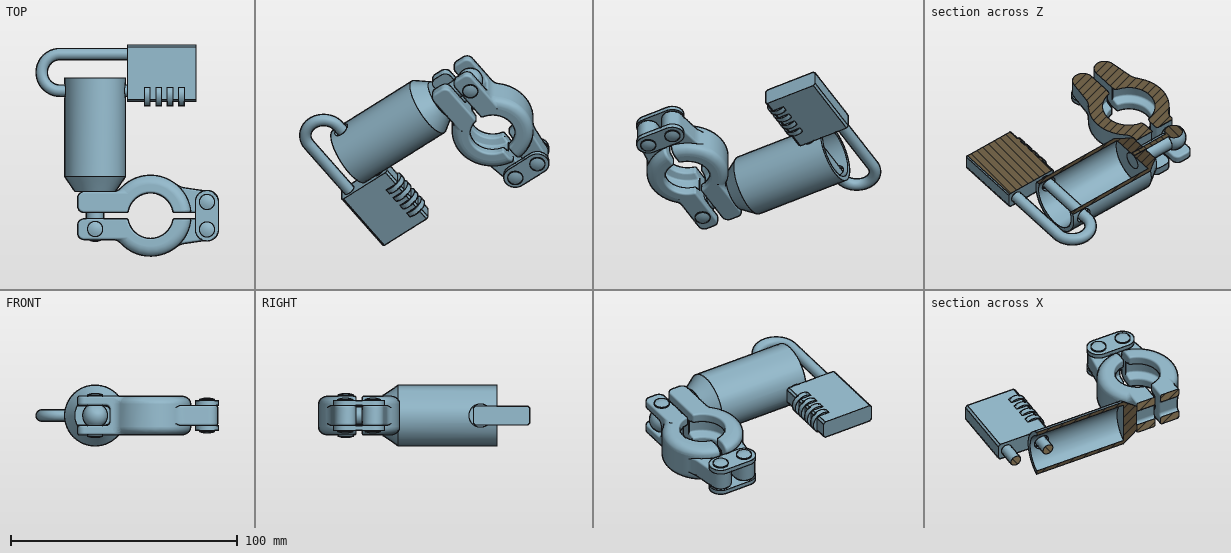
import cadquery as cq
import math


half_gap = 1.3
clamp_half_height = 8.6
ring_radius = 17.9
ring_flat_radius = 13.7
ring_wall_half_height = 5.1
bore_radius = 10.0
edge_radius = 0.9
arm_outer = 10.6
arm_end = -32.2
arm_corner_radius = 3.0
arm_root_radius = 4.7

groove_radius = 13.4
lip_corner = 4.3
inner_radius = (groove_radius + ring_flat_radius) / 2
flank_angle = math.radians(20)

slot_end = -17.9
slot_corner_radius = 1.9
upper_slot_half_height = 4.1
lower_slot_half_height = 4.5

rivet_x = 24.9
rivet_y = 6.1
lug_radius = rivet_y - half_gap
lug_half_height = 4.5
lug_root_radius = 8.4
lug_slope = math.radians(8.3)
link_radius = 5.1
link_thickness = 2.1

head_radius = 3.4
head_rim = 0.6
head_dome = 0.7

bolt_x = -24.5
bolt_pin_y = -5.9
ball_radius = 5.5
rod_radius = 3.9

barrel_radius = 27.0 / 2
barrel_tip_radius = 9.0
barrel_bore_radius = 11.6
barrel_shoulder = 17.3
barrel_end = 60.9
shackle_hole_radius = 7.0 / 2

case_left = -10.2
case_width = 30.3
case_top = 93.35 - ring_radius
case_height = 25.0
case_thickness = 8.4
case_chamfer = 0.9
shackle_radius = 5.1 / 2
shackle_lower_y = 55.2
shackle_upper_y = 71.3
shackle_left = -50.6
wheel_count = 4
wheel_radius = 5.1
wheel_width = 2.5
wheel_pitch = 5.0
wheel_first_left = -2.7
wheel_y = 53.6

REACH = 56.0


def plate(outline, half_height):
    """A closed outline extruded equally above and below Z = 0."""
    return outline.close().extrude(2 * half_height).translate((0, 0, -half_height))


def ring():
    """Full ring with rounded shoulders, rounded bore edges and the inner groove."""
    wall_half_height = lip_corner - math.tan(flank_angle) * (groove_radius - bore_radius)
    above_middle = (
        cq.Workplane("XZ")
        .moveTo(groove_radius, 0)
        .lineTo(ring_radius, 0)
        .lineTo(ring_radius, ring_wall_half_height)
        .ellipseArc(ring_radius - ring_flat_radius, clamp_half_height - ring_wall_half_height, 0, 90)
        .lineTo(bore_radius, clamp_half_height)
        .lineTo(bore_radius, lip_corner)
        .lineTo(groove_radius, wall_half_height)
        .close()
        .revolve(360, (0, 0), (0, 1))
    )
    whole = above_middle.union(above_middle.mirror("XY"))

    def in_bore(edge):
        is_round = edge.geomType() == "CIRCLE"
        return is_round and edge.radius() < groove_radius + edge_radius

    return whole.edges().filter(in_bore).fillet(edge_radius)


def half_ring():
    """The +Y half of the ring, with the edges of its two gap faces rounded."""
    upper_side = cq.Workplane("XY").box(REACH, REACH, REACH).translate((0, half_gap + REACH / 2, 0))
    return ring().intersect(upper_side).faces("<Y").edges().fillet(edge_radius)


def arm():
    """Straight arm with rounded free corners, ending inside the ring just clear of the groove."""
    blank = cq.Workplane("XY").box(-arm_end, arm_outer - half_gap, 2 * clamp_half_height)
    blank = blank.translate((arm_end / 2, (arm_outer + half_gap) / 2, 0))
    blank = blank.edges("|Z and <X").fillet(arm_corner_radius)
    core = cq.Workplane("XY").circle(inner_radius).extrude(REACH, both=True)
    body = blank.cut(core)

    def outside_core(edge):
        return edge.geomType() == "LINE" or edge.Center().x < -ring_radius

    return body.faces("|Z").edges().filter(outside_core).fillet(edge_radius)


def lug_root(normal, distance):
    """Concave arc from the sloping lug side to the ring: its lug end, middle and ring end."""
    along = (normal[1], -normal[0])
    offset = distance + lug_root_radius
    run = math.sqrt((ring_radius + lug_root_radius) ** 2 - offset**2)
    centre = tuple(n * offset + t * run for n, t in zip(normal, along))
    lug_point = tuple(c - lug_root_radius * n for c, n in zip(centre, normal))
    ring_point = tuple(c * ring_radius / (ring_radius + lug_root_radius) for c in centre)
    bisector = [(p + q) / 2 - c for p, q, c in zip(lug_point, ring_point, centre)]
    reach = lug_root_radius / math.hypot(*bisector)
    middle = tuple(c + reach * b for c, b in zip(centre, bisector))
    return lug_point, middle, ring_point


def lug():
    """Hinge lug rounded about the rivet, flared into the ring, ending just clear of the groove."""
    normal = (math.sin(lug_slope), math.cos(lug_slope))
    distance = rivet_x * normal[0] + rivet_y * normal[1] + lug_radius
    lug_point, middle, ring_point = lug_root(normal, distance)
    gap_angle = math.asin(half_gap / inner_radius)
    root_angle = math.atan2(ring_point[1], ring_point[0])
    inner_points = [
        (inner_radius * math.cos(angle), inner_radius * math.sin(angle))
        for angle in (root_angle, (root_angle + gap_angle) / 2, gap_angle)
    ]
    outline = (
        cq.Workplane("XY")
        .moveTo(*inner_points[2])
        .lineTo(rivet_x, half_gap)
        .threePointArc(
            (rivet_x + lug_radius, rivet_y),
            (rivet_x + lug_radius * normal[0], rivet_y + lug_radius * normal[1]),
        )
        .lineTo(*lug_point)
        .threePointArc(middle, ring_point)
        .lineTo(*inner_points[0])
        .threePointArc(inner_points[1], inner_points[2])
    )
    return plate(outline, lug_half_height).faces("|Z").edges().fillet(edge_radius)


def slot(half_height):
    """Tool for the bolt slot, open at the free end of the arm."""
    blank = cq.Workplane("XY").box(REACH, REACH, 2 * half_height)
    return blank.translate((slot_end - REACH / 2, 0, 0)).edges("|Y and >X").fillet(slot_corner_radius)


def clamp_half(slot_half_height):
    """The +Y half of the clamp, without its link."""

    def at_arm_root(edge):
        centre = edge.Center()
        near_side = arm_outer - edge_radius / 2 - 0.1 < centre.y < arm_outer + 0.1
        return near_side and -ring_radius < centre.x < -bore_radius

    half = half_ring().union(arm())
    half = half.edges().filter(at_arm_root).fillet(arm_root_radius)
    return half.union(lug()).cut(slot(slot_half_height))


def round_slot_mouth(half, slot_half_height):
    """Round the edges where the slot breaks through the sides and the end of the arm."""

    def at_mouth(edge):
        box = edge.BoundingBox()
        in_slot = max(abs(box.zmin), abs(box.zmax)) < slot_half_height + 0.01
        runs_along_y = box.ymax - box.ymin > arm_outer / 2
        on_arm = box.xmax < slot_end + 0.01
        in_end = box.xmax - box.xmin < 0.01 and box.xmax < bolt_x
        return in_slot and on_arm and (not runs_along_y or in_end)

    return half.edges().filter(at_mouth).fillet(edge_radius)


def domed_pin(radius, half_length):
    """Pin along Z whose ends each stand out as a short rim under a shallow dome."""
    rim = half_length + head_rim
    dome_radius = (radius**2 + head_dome**2) / (2 * head_dome)
    dome_centre = rim + head_dome - dome_radius
    mid_radius = radius / 2
    mid_height = dome_centre + math.sqrt(dome_radius**2 - mid_radius**2)
    return (
        cq.Workplane("XZ")
        .moveTo(0, -rim - head_dome)
        .threePointArc((mid_radius, -mid_height), (radius, -rim))
        .lineTo(radius, rim)
        .threePointArc((mid_radius, mid_height), (0, rim + head_dome))
        .close()
        .revolve(360, (0, 0), (0, 1))
    )


def link():
    """Two plates riveted to the hinge lugs of both halves."""
    outer_face = lug_half_height + link_thickness
    length = 2 * (rivet_y + link_radius)
    plates = (
        cq.Workplane("XY")
        .slot2D(length, 2 * link_radius, 90)
        .extrude(2 * outer_face)
        .translate((rivet_x, 0, -outer_face))
        .cut(cq.Workplane("XY").box(2 * REACH, REACH, 2 * lug_half_height))
    )
    for side in (1, -1):
        plates = plates.union(domed_pin(head_radius, outer_face).translate((rivet_x, side * rivet_y, 0)))
    return plates


def bolt_pin():
    """Cross pin through the ball and the lower arm."""
    return domed_pin(head_radius, clamp_half_height).translate((bolt_x, bolt_pin_y, 0))


def bolt_rod():
    """Plain rod from the ball to the inner floor of the barrel."""
    rod = cq.Workplane("XZ").circle(rod_radius).extrude(bolt_pin_y - barrel_shoulder)
    return rod.translate((bolt_x, bolt_pin_y, 0))


def bolt():
    """Swing bolt: a ball flattened to fit its slot, its cross pin and a plain rod."""
    ball = cq.Workplane("XY").sphere(ball_radius)
    ball = ball.intersect(cq.Workplane("XY").box(REACH, REACH, 2 * lower_slot_half_height))
    ball = ball.translate((bolt_x, bolt_pin_y, 0))
    return ball.union(bolt_rod()).union(bolt_pin())


def barrel():
    """Open sleeve with a tapered tip, a hole for the bolt rod and a cross hole for the shackle."""
    body = (
        cq.Workplane("XY")
        .moveTo(0, arm_outer)
        .lineTo(barrel_tip_radius, arm_outer)
        .lineTo(barrel_radius, barrel_shoulder)
        .lineTo(barrel_radius, barrel_end)
        .lineTo(barrel_bore_radius, barrel_end)
        .lineTo(barrel_bore_radius, barrel_shoulder)
        .lineTo(0, barrel_shoulder)
        .close()
        .revolve(360, (0, 0), (0, 1))
        .translate((bolt_x, 0, 0))
    )
    hole = cq.Workplane("YZ").center(shackle_lower_y, 0).circle(shackle_hole_radius)
    return body.cut(bolt_rod()).cut(hole.extrude(REACH, both=True))


def clamp():
    """Both clamp halves joined by their link, with clearance for the bolt pin and the barrel."""
    upper = clamp_half(upper_slot_half_height)
    lower = round_slot_mouth(clamp_half(lower_slot_half_height), lower_slot_half_height).mirror("XZ")
    upper = upper.cut(barrel())
    lower = lower.cut(bolt_pin())
    return upper.union(lower).union(link())


def shackle():
    """U-shaped rod with its legs along X."""
    bend_radius = (shackle_upper_y - shackle_lower_y) / 2
    bend_x = shackle_left + shackle_radius + bend_radius
    path = (
        cq.Workplane("XY")
        .moveTo(case_left, shackle_upper_y)
        .lineTo(bend_x, shackle_upper_y)
        .threePointArc(
            (bend_x - bend_radius, shackle_lower_y + bend_radius), (bend_x, shackle_lower_y)
        )
        .lineTo(case_left, shackle_lower_y)
    )
    section = cq.Workplane("YZ", origin=(case_left, shackle_upper_y, 0)).circle(shackle_radius)
    return section.sweep(path)


def padlock():
    """Case with chamfered long edges, number wheels along its lower side, and the shackle."""
    case = (
        cq.Workplane("XY")
        .box(case_width, case_height, case_thickness)
        .edges("|X")
        .chamfer(case_chamfer)
        .translate((case_left + case_width / 2, case_top - case_height / 2, 0))
    )
    lock = case.union(shackle())
    for index in range(wheel_count):
        left = wheel_first_left + index * wheel_pitch
        wheel = cq.Workplane("YZ", origin=(left, wheel_y, 0)).circle(wheel_radius).extrude(wheel_width)
        lock = lock.union(wheel)
    return lock


result = cq.Compound.makeCompound([clamp().val(), bolt().val(), barrel().val(), padlock().val()])